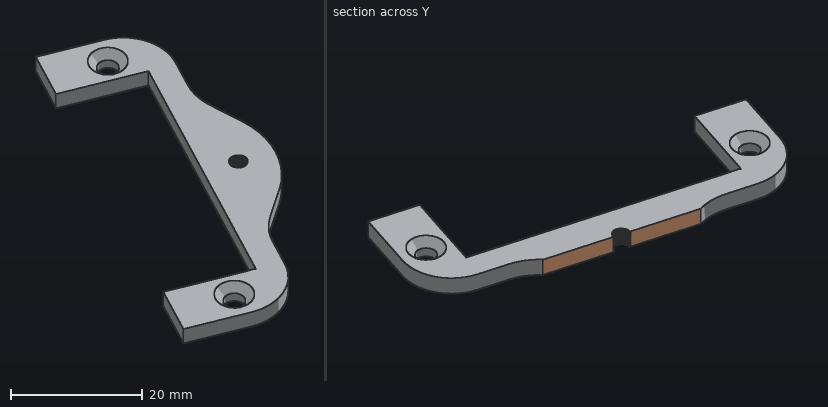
import cadquery as cq
import math

length = 65.3
depth = 27.0
thickness = 3.0

half_length = length / 2
leg_width = 8.95
inner_edge_y = 15.0
shoulder_y = 19.6
corner_radius = 8.5

crest_radius = 15.0
foot_radius = 10.0
flank_angle = math.radians(33)

mount_hole_diameter = 3.4
countersink_diameter = 6.15
countersink_angle = 90
mount_hole_x = 27.95
mount_hole_y = 10.0

bore_diameter = 2.6
thread_diameter = 3.0
thread_pitch = 0.5
thread_crest_flat = thread_pitch / 8
thread_root_flat = thread_pitch / 8
thread_overlap = 0.05
centre_hole_y = 21.0


def point_on_arc(centre, radius, angle):
    """Point at an angle measured from +Y toward +X."""
    return (centre[0] + radius * math.sin(angle), centre[1] + radius * math.cos(angle))


def make_half_plate():
    """Right half of the plate, from the X = 0 plane to the outer leg."""
    crest_centre = (0, depth - crest_radius)
    crest_end = point_on_arc(crest_centre, crest_radius, flank_angle)
    crest_middle = point_on_arc(crest_centre, crest_radius, flank_angle / 2)

    flank_corner_x = crest_end[0] + (crest_end[1] - shoulder_y) / math.tan(flank_angle)
    foot_end_x = flank_corner_x + foot_radius * math.tan(flank_angle / 2)
    foot_centre = (foot_end_x, shoulder_y + foot_radius)
    foot_start = point_on_arc(foot_centre, -foot_radius, flank_angle)
    foot_middle = point_on_arc(foot_centre, -foot_radius, flank_angle / 2)

    corner_centre = (half_length - corner_radius, shoulder_y - corner_radius)
    corner_middle = point_on_arc(corner_centre, corner_radius, math.radians(45))

    leg_inner_x = half_length - leg_width
    return (
        cq.Workplane("XY")
        .moveTo(0, inner_edge_y)
        .lineTo(0, depth)
        .threePointArc(crest_middle, crest_end)
        .lineTo(*foot_start)
        .threePointArc(foot_middle, (foot_end_x, shoulder_y))
        .lineTo(corner_centre[0], shoulder_y)
        .threePointArc(corner_middle, (half_length, corner_centre[1]))
        .lineTo(half_length, 0)
        .lineTo(leg_inner_x, 0)
        .lineTo(leg_inner_x, inner_edge_y)
        .close()
        .extrude(thickness)
    )


def make_threaded_core():
    """Solid filling the threaded hole, around Z: the bore plus a helical ridge."""
    inner_radius = bore_diameter / 2 - thread_overlap
    outer_radius = thread_diameter / 2
    half_mouth = (thread_pitch - thread_crest_flat) / 2
    half_root = thread_root_flat / 2
    helix_height = thickness + 2 * thread_pitch
    helix = cq.Wire.makeHelix(thread_pitch, helix_height, outer_radius)
    ridge = (
        cq.Workplane("XZ")
        .moveTo(inner_radius, -half_mouth)
        .lineTo(outer_radius, -half_root)
        .lineTo(outer_radius, half_root)
        .lineTo(inner_radius, half_mouth)
        .close()
        .sweep(cq.Workplane(helix), isFrenet=True)
        .translate((0, 0, -thread_pitch))
    )
    plate_slab = cq.Workplane("XY").circle(thread_diameter).extrude(thickness)
    bore = cq.Workplane("XY").circle(bore_diameter / 2).extrude(thickness)
    return bore.union(ridge.intersect(plate_slab))


half_plate = make_half_plate()
plate = half_plate.union(half_plate.mirror("YZ"))

plate = (
    plate.faces(">Z")
    .workplane(origin=(0, 0, thickness))
    .pushPoints([(-mount_hole_x, mount_hole_y), (mount_hole_x, mount_hole_y)])
    .cskHole(mount_hole_diameter, countersink_diameter, countersink_angle)
)

result = plate.cut(make_threaded_core().translate((0, centre_hole_y, 0))).solids()